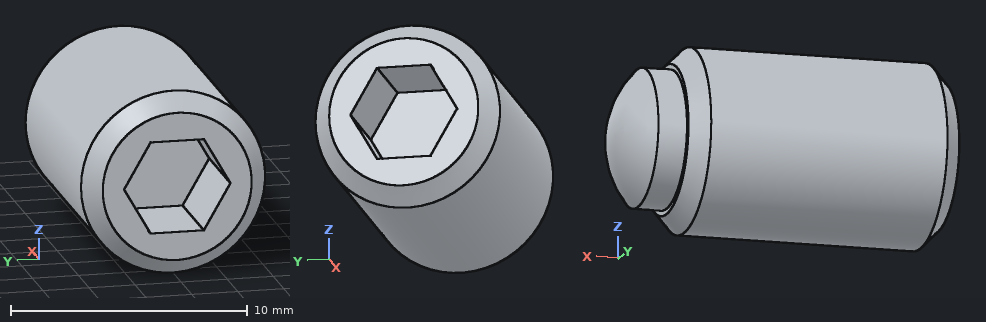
import cadquery as cq
import math

total_length = 14.5
body_diameter = 8.0
body_length = 12.0
body_chamfer = 0.77
tip_diameter = 6.0
dome_height = 1.23
hex_across_flats = 4.0
hex_depth = hex_across_flats

body_radius = body_diameter / 2
tip_radius = tip_diameter / 2
dome_start = total_length - dome_height
dome_radius = (tip_radius**2 + dome_height**2) / (2 * dome_height)
dome_center = total_length - dome_radius


def make_screw_blank():
    """Revolve the chamfered body and its domed tip about the X axis."""
    half_angle = math.asin(tip_radius / dome_radius) / 2
    dome_middle = (
        dome_center + dome_radius * math.cos(half_angle),
        dome_radius * math.sin(half_angle),
    )
    profile = (
        cq.Workplane("XY")
        .lineTo(0, body_radius - body_chamfer)
        .lineTo(body_chamfer, body_radius)
        .lineTo(body_length - body_chamfer, body_radius)
        .lineTo(body_length, body_radius - body_chamfer)
        .lineTo(body_length, tip_radius)
        .lineTo(dome_start, tip_radius)
        .threePointArc(dome_middle, (total_length, 0))
        .close()
    )
    return profile.revolve(360, (0, 0, 0), (1, 0, 0))


def make_hex_socket():
    """Hexagonal prism with two corners on the Y axis and flats facing +Z and -Z."""
    across_corners = hex_across_flats / math.cos(math.pi / 6)
    return cq.Workplane("YZ").polygon(6, across_corners).extrude(hex_depth)


result = make_screw_blank().cut(make_hex_socket())